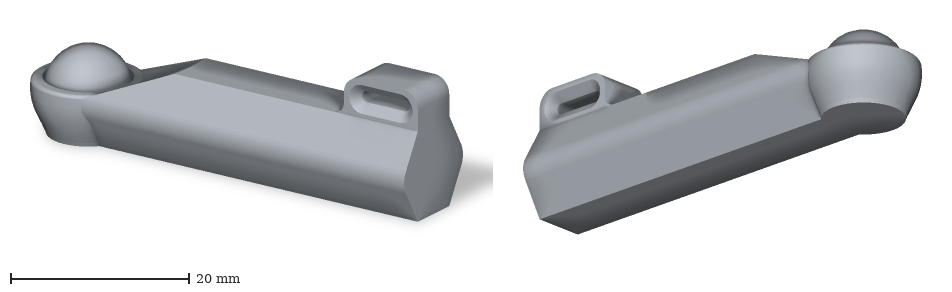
import cadquery as cq
import math

OVERALL_LENGTH = 53.55
CUP_RADIUS = 13.1 / 2

BAR_HEIGHT = 10.75
BAR_END_X = OVERALL_LENGTH - CUP_RADIUS
SIDE_ROUND = 2.6
MID_Z = BAR_HEIGHT / 2
HEX_CORNER = BAR_HEIGHT / math.sqrt(3)
FLAT_HALF = HEX_CORNER / 2

RIM_Z = 6.65
RIM_ROUND = 0.5
SKIRT_Z = 2.1
FOOT_Z = 0.5
FOOT_RADIUS = 4.9
BASE_RADIUS = 4.75

BALL_RADIUS = 10.0 / 2
SOCKET_GAP = 0.3

RAMP_TOP_X = 13.85
RAMP_TOP_BULGE = 0.2
RAMP_FOOT_RADIUS = CUP_RADIUS - RIM_ROUND
RAMP_FOOT_ANGLE = 41
RAMP_SIDE_ANGLE = 118
RAMP_DROP = RIM_ROUND

LUG_LENGTH = 10.05
LUG_TOP_Z = 15.35
LUG_CORNER = 2.0
LUG_ROOT = 1.35
SLOT_LENGTH = 6.5
SLOT_HEIGHT = 1.3
SLOT_FLARE = 1.05
SLOT_FLARE_DEPTH = 1.0
SLOT_X = BAR_END_X - LUG_LENGTH / 2
SLOT_Z = 13.0


def make_bar():
    """Hexagonal prism from the cup axis to the far end."""
    outline = [
        (-FLAT_HALF, 0),
        (FLAT_HALF, 0),
        (HEX_CORNER, MID_Z),
        (FLAT_HALF, BAR_HEIGHT),
        (-FLAT_HALF, BAR_HEIGHT),
        (-HEX_CORNER, MID_Z),
    ]
    prism = cq.Workplane("YZ").polyline(outline).close().extrude(BAR_END_X)
    return prism.edges(">Y or <Y").fillet(SIDE_ROUND)


def ramp_section(z, middle_x, end_x, end_y):
    """Level section of the space above the ramp: an arc with two splayed sides, open toward the ball."""
    splay = math.radians(RAMP_SIDE_ANGLE)
    reach = CUP_RADIUS
    outer_x = end_x + reach * math.cos(splay)
    outer_y = end_y + reach * math.sin(splay)
    back_x = -2 * CUP_RADIUS
    return (
        cq.Workplane("XY", origin=(0, 0, z))
        .moveTo(end_x, -end_y)
        .threePointArc((middle_x, 0), (end_x, end_y))
        .lineTo(outer_x, outer_y)
        .lineTo(back_x, outer_y)
        .lineTo(back_x, -outer_y)
        .lineTo(outer_x, -outer_y)
        .close()
        .val()
    )


def make_ramp_cutter():
    """Space above the ramp, its straight slopes extended from the rim down by RAMP_DROP."""
    foot_angle = math.radians(RAMP_FOOT_ANGLE)
    foot = (
        RAMP_FOOT_RADIUS,
        RAMP_FOOT_RADIUS * math.cos(foot_angle),
        RAMP_FOOT_RADIUS * math.sin(foot_angle),
    )
    top = (RAMP_TOP_X + RAMP_TOP_BULGE, RAMP_TOP_X, FLAT_HALF)
    extension = RAMP_DROP / (BAR_HEIGHT - RIM_Z)
    low = [at_foot + extension * (at_foot - at_top) for at_foot, at_top in zip(foot, top)]
    low_section = ramp_section(RIM_Z - RAMP_DROP, *low)
    top_section = ramp_section(BAR_HEIGHT, *top)
    return cq.Workplane(cq.Solid.makeLoft([low_section, top_section], True))


def make_cup():
    """Revolved bowl: rounded rim, spherical flank, conical skirt and small foot chamfer."""
    rim_edge_z = RIM_Z - RIM_ROUND
    rim_edge_radius = math.sqrt(CUP_RADIUS**2 - (rim_edge_z - MID_Z) ** 2)
    skirt_radius = math.sqrt(CUP_RADIUS**2 - (SKIRT_Z - MID_Z) ** 2)
    diagonal = RIM_ROUND * math.sqrt(0.5)
    return (
        cq.Workplane("XZ")
        .lineTo(BASE_RADIUS, 0)
        .lineTo(FOOT_RADIUS, FOOT_Z)
        .lineTo(skirt_radius, SKIRT_Z)
        .threePointArc((CUP_RADIUS, MID_Z), (rim_edge_radius, rim_edge_z))
        .threePointArc(
            (rim_edge_radius - RIM_ROUND + diagonal, rim_edge_z + diagonal),
            (rim_edge_radius - RIM_ROUND, RIM_Z),
        )
        .lineTo(0, RIM_Z)
        .close()
        .revolve(360, (0, 0, 0), (0, 1, 0))
    )


def make_lug():
    """Upright block with rounded top corners and a concave root."""
    start_x = BAR_END_X - LUG_LENGTH
    lug_height = LUG_TOP_Z - BAR_HEIGHT
    diagonal = LUG_ROOT * (1 - math.sqrt(0.5))
    block = (
        cq.Workplane("XY", origin=(SLOT_X, 0, BAR_HEIGHT))
        .box(LUG_LENGTH, 2 * FLAT_HALF, lug_height, centered=(True, True, False))
        .faces(">Z")
        .edges("|Y")
        .fillet(LUG_CORNER)
    )
    root = (
        cq.Workplane("XZ", origin=(0, FLAT_HALF, 0))
        .moveTo(start_x, BAR_HEIGHT)
        .lineTo(start_x, BAR_HEIGHT + LUG_ROOT)
        .threePointArc(
            (start_x - diagonal, BAR_HEIGHT + diagonal), (start_x - LUG_ROOT, BAR_HEIGHT)
        )
        .close()
        .extrude(2 * FLAT_HALF)
    )
    return block.union(root)


def slot_outline(y, margin):
    """Slot outline in the plane at y, larger than the narrow slot by the margin all round."""
    plane = cq.Workplane("XZ", origin=(SLOT_X, y, SLOT_Z))
    return plane.slot2D(SLOT_LENGTH + 2 * margin, SLOT_HEIGHT + 2 * margin)


def make_lug_slot():
    """Narrow slot through the lug, flared at both mouths."""
    slot = slot_outline(FLAT_HALF, 0).extrude(2 * FLAT_HALF)
    for side in (-1, 1):
        mouth = slot_outline(side * FLAT_HALF, SLOT_FLARE).val()
        throat = slot_outline(side * (FLAT_HALF - SLOT_FLARE_DEPTH), 0).val()
        slot = slot.union(cq.Workplane(cq.Solid.makeLoft([mouth, throat], True)))
    return slot


def make_ball(radius):
    """Sphere on the cup axis; with a larger radius it is also the socket."""
    return cq.Workplane("XY", origin=(0, 0, MID_Z)).sphere(radius)


def make_handle():
    """Bar, cup and lug in one piece, with the lug slot and the ball socket cut out."""
    bar = make_bar().cut(make_ramp_cutter())
    body = bar.union(make_cup()).union(make_lug())
    return body.cut(make_lug_slot()).cut(make_ball(BALL_RADIUS + SOCKET_GAP))


handle = make_handle()
ball = make_ball(BALL_RADIUS)

result = cq.Compound.makeCompound([handle.val(), ball.val()])